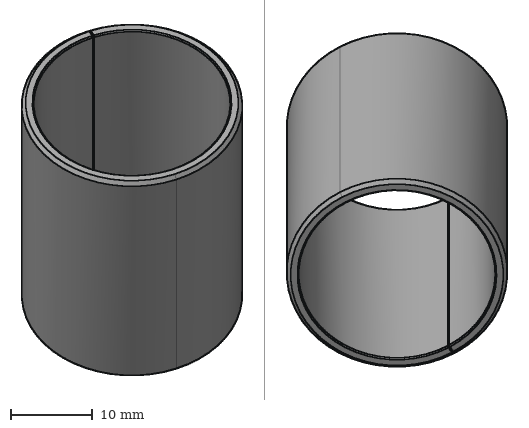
import cadquery as cq

length = 35.0
outer_diameter = 27.0
bore_diameter = 24.0
outer_chamfer = 0.5
bore_chamfer = 0.18
split_width = 0.2

outer_radius = outer_diameter / 2
bore_radius = bore_diameter / 2
half_length = length / 2


def bushing_wall():
    """Revolve the wall section, chamfered at both ends inside and outside."""
    section = (
        cq.Workplane("XZ")
        .moveTo(bore_radius + bore_chamfer, -half_length)
        .lineTo(outer_radius - outer_chamfer, -half_length)
        .lineTo(outer_radius, -half_length + outer_chamfer)
        .lineTo(outer_radius, half_length - outer_chamfer)
        .lineTo(outer_radius - outer_chamfer, half_length)
        .lineTo(bore_radius + bore_chamfer, half_length)
        .lineTo(bore_radius, half_length - bore_chamfer)
        .lineTo(bore_radius, -half_length + bore_chamfer)
        .close()
    )
    return section.revolve(360, (0, 0, 0), (0, 1, 0))


def split_cutter():
    """Thin slab that opens the wall along its full length on the -X side, one face on Y = 0."""
    return cq.Workplane("XY").box(
        outer_diameter, split_width, length, centered=(False, False, True)
    ).translate((-outer_diameter, 0, 0))


result = bushing_wall().cut(split_cutter())